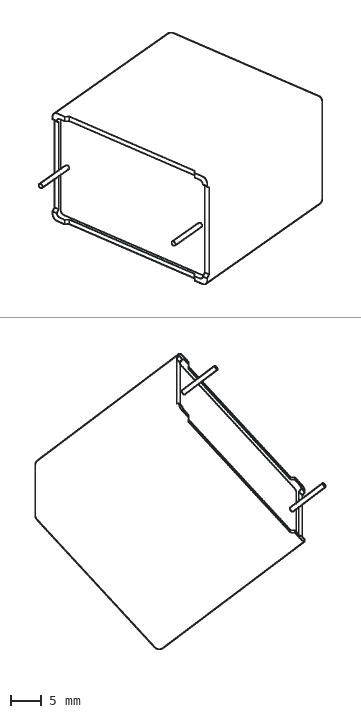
import cadquery as cq

case_width = 32.0
case_height = 21.0
total_length = 37.0
pin_projection = 6.0
case_depth = total_length - pin_projection
edge_radius = 1.0

wall = 0.9
recess_depth = 1.05
recess_corner_radius = 0.7

cutback_depth = 0.5
foot_width = 2.5
foot_height = 1.5

pin_spacing = 27.5
pin_diameter = 0.8


def make_case():
    """Solid block, rounded everywhere except around the open end."""
    block = cq.Workplane("XY").box(case_width, case_depth, case_height)
    block = block.translate((0, case_depth / 2, 0))
    return block.edges("|Y").fillet(edge_radius).faces(">Y").edges().fillet(edge_radius)


def make_recess():
    """Rounded pocket bounded by the wall of the case."""
    recess = cq.Workplane("XY").box(case_width - 2 * wall, recess_depth, case_height - 2 * wall)
    recess = recess.translate((0, recess_depth / 2, 0))
    return recess.edges("|Y").fillet(recess_corner_radius)


def make_cutback(plane, opening, through_length):
    """Trapezoid with 45 degree ends, cut through a pair of opposite walls."""
    half_opening = opening / 2
    half_floor = half_opening - cutback_depth
    outline = [
        (-half_opening, 0),
        (half_opening, 0),
        (half_floor, cutback_depth),
        (-half_floor, cutback_depth),
    ]
    return cq.Workplane(plane).polyline(outline).close().extrude(through_length / 2, both=True)


def make_pin(x):
    """Round pin from the recess floor out past the open end."""
    pin = cq.Workplane("XZ", origin=(x, recess_depth, 0)).circle(pin_diameter / 2)
    return pin.extrude(recess_depth + pin_projection)


result = make_case().cut(make_recess())
result = result.cut(make_cutback("XY", case_width - 2 * foot_width, case_height))
result = result.cut(make_cutback("ZY", case_height - 2 * foot_height, case_width))
for side in (-1, 1):
    result = result.union(make_pin(side * pin_spacing / 2))